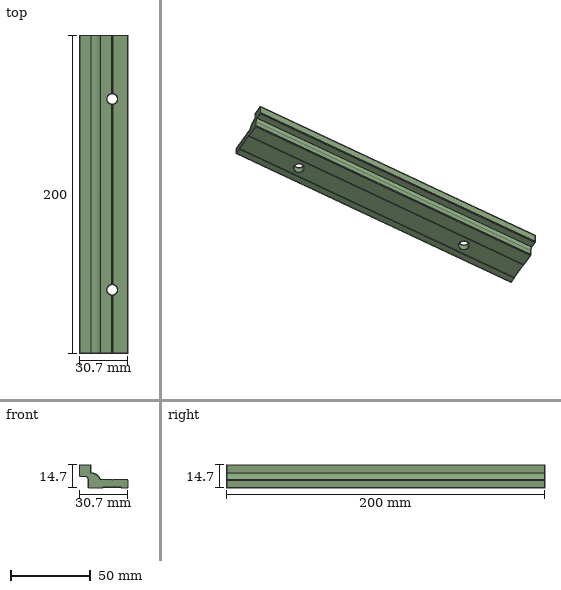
import cadquery as cq

length = 200.0
width = 30.7
height = 14.65

head_width = 7.2
head_bottom = 7.25
body_left = 5.6
plate_top = 5.4
edge_chamfer = 0.5

corner_radius = 3.8
corner_height = 2.6

shoulder_top = 9.6
shoulder_radius = 6.5

relief_start = 14.7
relief_end = 26.4
relief_depth = 0.5

groove_x = 20.7
groove_width = 0.9
groove_depth = groove_width / 2
hole_diameter = 6.6
hole_spacing = 120.0


def shoulder_end():
    """X where the shoulder arc runs into the top of the plate."""
    centre_height = shoulder_top - shoulder_radius
    rise = plate_top - centre_height
    return head_width + (shoulder_radius**2 - rise**2) ** 0.5


def corner_start():
    """X where the concave corner arc leaves the underside of the head."""
    return body_left - corner_radius + (corner_radius**2 - corner_height**2) ** 0.5


def make_rail():
    """Extrude the cross-section along Y, half the length to each side."""
    profile = (
        cq.Workplane("XZ")
        .moveTo(body_left + edge_chamfer, 0)
        .lineTo(relief_start, 0)
        .lineTo(relief_start, relief_depth)
        .lineTo(relief_end, relief_depth)
        .lineTo(relief_end, 0)
        .lineTo(width - edge_chamfer, 0)
        .lineTo(width, edge_chamfer)
        .lineTo(width, plate_top - edge_chamfer)
        .lineTo(width - edge_chamfer, plate_top)
        .lineTo(groove_x + groove_width / 2, plate_top)
        .lineTo(groove_x, plate_top - groove_depth)
        .lineTo(groove_x - groove_width / 2, plate_top)
        .lineTo(shoulder_end(), plate_top)
        .radiusArc((head_width, shoulder_top), -shoulder_radius)
        .lineTo(head_width, height)
        .lineTo(edge_chamfer, height)
        .lineTo(0, height - edge_chamfer)
        .lineTo(0, head_bottom + edge_chamfer)
        .lineTo(edge_chamfer, head_bottom)
        .lineTo(corner_start(), head_bottom)
        .radiusArc((body_left, head_bottom - corner_height), corner_radius)
        .lineTo(body_left, edge_chamfer)
        .close()
    )
    return profile.extrude(length / 2, both=True)


def make_holes():
    """Cylinders for the through holes, spaced evenly about the middle of the rail."""
    return (
        cq.Workplane("XY")
        .center(groove_x, 0)
        .rarray(1, hole_spacing, 1, 2)
        .circle(hole_diameter / 2)
        .extrude(height)
    )


result = make_rail().cut(make_holes())